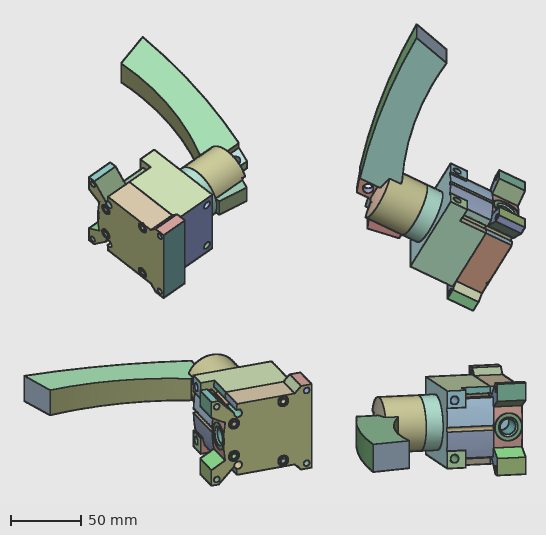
import cadquery as cq
import math


base_top = 21.0
flange_bottom = 41.7
body_top = 55.3
collar_top = 67.6
hub_shoulder = 97.2
hub_crown = 100.5

base_right = 36.3
body_right = 28.4
half_height = 28.0
crown_x = -31.8
bulge_radius = 82.5

ear_half_height = 33.0
left_ear_x = -41.1
left_ear_width = 5.6
left_ear_low = 20.6
left_ear_root = 14.8
right_ear_width = 8.2
right_ear_run = 5.0
corner_hole = 4.5
corner_hole_z = 28.7
corner_hole_xs = (-37.0, 32.3)

slot_wall_top_x = -21.3
slot_wall_foot_x = -22.1
slot_hole_x = -20.5
slot_hole_z = 20.5
slot_hole = 6.0
body_slot_hole = 5.5
body_slot_shift = 0.3
body_step_z = 21.5

screw_places = ((-23.6, 12.7), (14.4, 23.5))
screw_bore = 7.8
screw_head = 7.0
screw_gap_depth = 1.0
screw_socket = 4.1
screw_socket_depth = 2.0

port_y = 10.2
port_face = 20.0
port_face_depth = 0.7
port_mouth = 14.0
port_bore = 11.4
port_depth = 19.8
port_chamfer = (port_mouth - port_bore) / 2

pad_inner_z = 15.5
pad_hole = 6.0
pad_hole_y = 50.0
pad_hole_z = 21.1
groove_width = 3.3

hub_diameter = 40.0
hub_radius = hub_diameter / 2
tip_x = -128.7
tip_half_thickness = 10.0
grip_end_x = -8.1
grip_end_half_thickness = 8.4
lug_half_thickness = 3.6
lug_end_x = 5.5
tail_half_thickness = 7.1
hub_slot_half_width = 8.1
tail_root_y = 98.8
tail_tip = (26.0, 91.2)
tail_foot_x = 22.3
lever_tip = (tip_x, 135.6)
lever_top_middle = (-68.1, 129.9)
lever_top_end = (grip_end_x, 115.8)
lug_end_y = 111.0
lever_heel = (-120.8, 107.0)
lever_under_middle = (-66.0, 103.5)
lever_under_end = (-20.0, 88.1)
pivot_hole = 7.5
pivot_place = (-1.2, 105.5)


def bulge_x(z):
    """X of the bulged left side at height z."""
    return crown_x + bulge_radius - math.sqrt(bulge_radius**2 - z**2)


def section(y):
    """Workplane with local axes X and Z, placed at height y."""
    return cq.Workplane("XZ", origin=(0, y, 0))


def bore_y(x, z, diameter, y_from, y_to):
    """Cylinder along Y."""
    return section(y_from).center(x, z).circle(diameter / 2).extrude(y_from - y_to)


def bore_x(y, z, diameter, x_from, x_to):
    """Cylinder along X."""
    return cq.Workplane("YZ", origin=(x_from, y, z)).circle(diameter / 2).extrude(x_to - x_from)


def wedge_slot(side, hole_x, hole_z, diameter, y_from, y_to):
    """Wedge open at the outer side, ending in a round bore; side is +1 or -1."""
    flank_sum = left_ear_x + left_ear_width + ear_half_height
    flank_top_x = flank_sum - half_height
    flank_foot_z = flank_sum - slot_wall_foot_x
    wedge = (
        section(y_from)
        .moveTo(flank_top_x, side * half_height)
        .lineTo(slot_wall_top_x, side * half_height)
        .lineTo(slot_wall_foot_x, side * hole_z)
        .lineTo(slot_wall_foot_x, side * flank_foot_z)
        .close()
        .extrude(y_from - y_to)
    )
    return wedge.union(bore_y(hole_x, side * hole_z, diameter, y_from, y_to))


def base_outline():
    """Outline with four ears and the bulged left side between the left pair."""
    left_flat_x = left_ear_x + left_ear_width
    left_foot_x = left_flat_x + ear_half_height - half_height
    right_flat_x = base_right - right_ear_width
    upper = [
        (left_ear_x, left_ear_low),
        (left_ear_x, ear_half_height),
        (left_flat_x, ear_half_height),
        (left_foot_x, half_height),
        (right_flat_x - right_ear_run, half_height),
        (right_flat_x, ear_half_height),
        (base_right, ear_half_height),
    ]
    lower = [(x, -z) for x, z in reversed(upper)]
    root_x = bulge_x(left_ear_root)
    return (
        section(0)
        .moveTo(root_x, left_ear_root)
        .polyline(upper + lower, includeCurrent=True)
        .lineTo(root_x, -left_ear_root)
        .threePointArc((crown_x, 0), (root_x, left_ear_root))
        .close()
    )


def screw_recess(x, z):
    """Ring gap around a screw head, with a conical socket in the head."""
    gap = (
        section(0).center(x, z)
        .circle(screw_bore / 2).circle(screw_head / 2)
        .extrude(-screw_gap_depth)
    )
    socket = cq.Workplane(
        cq.Solid.makeCone(
            screw_socket / 2, 0, screw_socket_depth, cq.Vector(x, 0, z), cq.Vector(0, 1, 0)
        )
    )
    return gap.union(socket)


def port():
    """Spot face, chamfered mouth and blind bore on the left side."""
    face_x = crown_x + port_face_depth
    spot_face = bore_x(port_y, 0, port_face, left_ear_x, face_x)
    mouth = cq.Workplane(
        cq.Solid.makeCone(
            port_mouth / 2, port_bore / 2, port_chamfer,
            cq.Vector(face_x, port_y, 0), cq.Vector(1, 0, 0),
        )
    )
    bore = bore_x(port_y, 0, port_bore, face_x, face_x + port_depth)
    return spot_face.union(mouth).union(bore)


def make_base():
    base = base_outline().extrude(-base_top)
    for side in (1, -1):
        base = base.cut(wedge_slot(side, slot_hole_x, slot_hole_z, slot_hole, 0, base_top))
        for x in corner_hole_xs:
            base = base.cut(bore_y(x, side * corner_hole_z, corner_hole, 0, base_top))
        for x, z in screw_places:
            base = base.cut(screw_recess(x, side * z))
    return base.cut(port())


def body_block():
    """Block with the bulged left side, stepped in at both left corners."""
    step_x = bulge_x(body_step_z)
    return (
        section(base_top)
        .moveTo(step_x, -body_step_z)
        .threePointArc((crown_x, 0), (step_x, body_step_z))
        .lineTo(slot_wall_foot_x, body_step_z)
        .lineTo(slot_wall_top_x, half_height)
        .lineTo(body_right, half_height)
        .lineTo(body_right, -half_height)
        .lineTo(slot_wall_top_x, -half_height)
        .lineTo(slot_wall_foot_x, -body_step_z)
        .close()
        .extrude(base_top - body_top)
    )


def make_body():
    body = body_block()
    slot_x = slot_hole_x - body_slot_shift
    slot_z = slot_hole_z + body_slot_shift
    for side in (1, -1):
        pad = (
            section(flange_bottom)
            .moveTo(crown_x, side * pad_inner_z)
            .lineTo(crown_x, side * half_height)
            .lineTo(slot_wall_top_x, side * half_height)
            .lineTo(slot_wall_top_x, side * pad_inner_z)
            .close()
            .extrude(flange_bottom - body_top)
        )
        body = body.union(pad)
        body = body.cut(bore_y(slot_x, side * slot_z, body_slot_hole, base_top, flange_bottom))
        body = body.cut(bore_x(pad_hole_y, side * pad_hole_z, pad_hole, crown_x, body_right))
    body = body.cut(bore_y(crown_x, 0, groove_width, base_top, body_top))
    return body.union(bore_y(0, 0, hub_diameter, body_top, collar_top))


def make_hub():
    """Round hub with a domed end, slotted above the tail."""
    dome_rise = hub_crown - hub_shoulder
    dome_radius = (hub_radius**2 + dome_rise**2) / (2 * dome_rise)
    dome_middle_x = hub_radius / 2
    dome_middle_y = hub_crown - dome_radius + math.sqrt(dome_radius**2 - dome_middle_x**2)
    hub = (
        cq.Workplane("XY")
        .moveTo(0, collar_top)
        .lineTo(hub_radius, collar_top)
        .lineTo(hub_radius, hub_shoulder)
        .threePointArc((dome_middle_x, dome_middle_y), (0, hub_crown))
        .close()
        .revolve(360, (0, 0, 0), (0, 1, 0))
    )
    slot = (
        cq.Workplane("XY")
        .moveTo(lug_end_x, tail_root_y)
        .lineTo(*tail_tip)
        .lineTo(tail_tip[0], lug_end_y)
        .lineTo(lug_end_x, lug_end_y)
        .close()
        .extrude(hub_slot_half_width, both=True)
    )
    return hub.cut(slot)


def make_grip():
    """Curved grip that thins from its tip towards the hub."""
    outline = (
        cq.Workplane("XY")
        .moveTo(*lever_tip)
        .threePointArc(lever_top_middle, lever_top_end)
        .lineTo(grip_end_x, lever_under_end[1])
        .lineTo(*lever_under_end)
        .threePointArc(lever_under_middle, lever_heel)
        .close()
        .extrude(tip_half_thickness, both=True)
    )
    taper = (
        section(collar_top)
        .moveTo(tip_x, -tip_half_thickness)
        .lineTo(tip_x, tip_half_thickness)
        .lineTo(grip_end_x, grip_end_half_thickness)
        .lineTo(grip_end_x, -grip_end_half_thickness)
        .close()
        .extrude(collar_top - lever_tip[1])
    )
    return outline.intersect(taper)


def make_lug():
    """Thin plate beyond the grip that carries the pivot hole and sinks into the hub."""
    plate = (
        cq.Workplane("XY")
        .moveTo(*lever_top_end)
        .lineTo(lug_end_x, lug_end_y)
        .lineTo(lug_end_x, hub_shoulder)
        .lineTo(grip_end_x, hub_shoulder)
        .close()
        .extrude(lug_half_thickness, both=True)
    )
    pivot = (
        cq.Workplane("XY")
        .center(*pivot_place)
        .circle(pivot_hole / 2)
        .extrude(lug_half_thickness, both=True)
    )
    return plate.cut(pivot)


def make_tail():
    """Plate set into the hub below its slot, sticking out beyond the hub."""
    return (
        cq.Workplane("XY")
        .moveTo(lug_end_x, tail_root_y)
        .lineTo(*tail_tip)
        .lineTo(tail_foot_x, collar_top)
        .lineTo(lug_end_x, collar_top)
        .close()
        .extrude(tail_half_thickness, both=True)
    )


def make_handle():
    return make_hub().union(make_grip()).union(make_lug()).union(make_tail())


base = make_base()
body = make_body()
handle = make_handle()

result = cq.Compound.makeCompound([base.val(), body.val(), handle.val()])